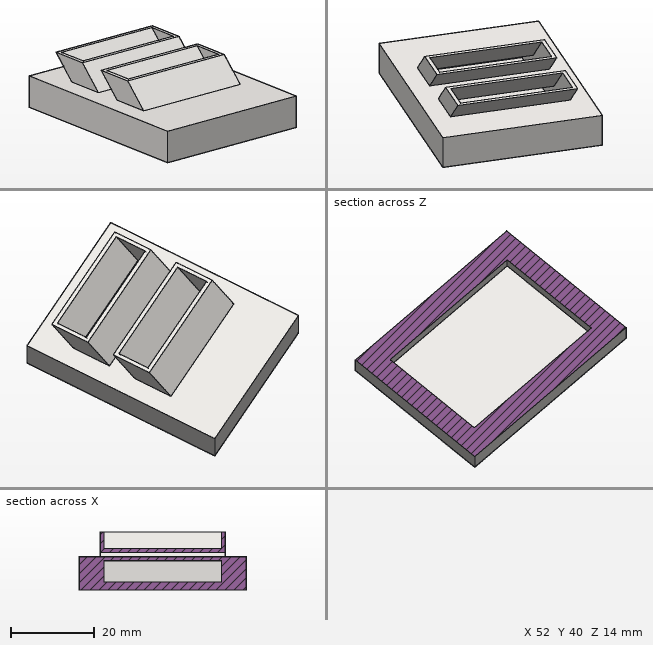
import cadquery as cq

base_length = 52.0
base_width = 40.0
base_height = 8.0

rim = 6.0
floor_thickness = 2.0
lid_thickness = 1.0
lid_underside = base_height - lid_thickness

collar_height = 6.0
collar_length = 10.0
collar_wall = 1.0
collar_end_margin = 5.0
first_collar_x = 10.0
collar_pitch = 17.0

top = base_height + collar_height
inner_length = collar_length - 2 * collar_wall
inner_width = base_width - 2 * rim
collar_width = base_width - 2 * collar_end_margin


def leaning_block(x_at_base_top, length, y_start, width, bottom, height_top):
    """Prism leaning 45 degrees, with its left edge at x_at_base_top on the base's top."""
    left_bottom = x_at_base_top + base_height - bottom
    left_top = x_at_base_top + base_height - height_top
    profile = [
        (left_bottom, bottom),
        (left_bottom + length, bottom),
        (left_top + length, height_top),
        (left_top, height_top),
    ]
    return cq.Workplane("XZ", origin=(0, y_start, 0)).polyline(profile).close().extrude(-width)


def collar(x):
    return leaning_block(x, collar_length, collar_end_margin, collar_width, lid_underside, top)


def collar_opening(x):
    return leaning_block(x + collar_wall, inner_length, rim, inner_width, lid_underside, top)


result = cq.Workplane("XY").box(base_length, base_width, base_height, centered=False)
collar_positions = [first_collar_x + i * collar_pitch for i in range(2)]
for x in collar_positions:
    result = result.union(collar(x))

hollow = cq.Workplane("XY", origin=(rim, rim, floor_thickness)).box(
    base_length - 2 * rim, inner_width, lid_underside - floor_thickness, centered=False
)
result = result.cut(hollow)

for x in collar_positions:
    result = result.cut(collar_opening(x))

lid_relief = cq.Workplane("XY", origin=(first_collar_x + collar_wall, rim, lid_underside)).box(
    inner_length, inner_width, lid_thickness, centered=False
)
result = result.cut(lid_relief)